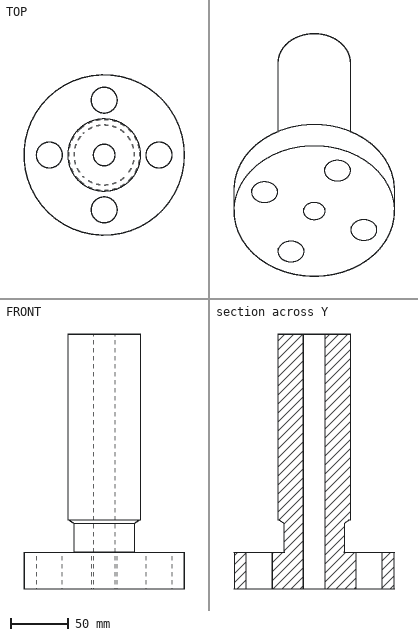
import cadquery as cq

total_height = 222.2

flange_diameter = 140.0
flange_thickness = 32.0

neck_diameter = 53.0
barrel_diameter = 63.3
barrel_start_z = 60.0
shoulder_height = 3.0
ledge_width = 1.0
relief_size = 0.5

bore_diameter = 18.7
bolt_hole_diameter = 22.5
bolt_circle_diameter = 95.5
bolt_hole_count = 4


def cylinder(diameter, bottom_z, top_z):
    """Upright cylinder on the Z axis between two heights."""
    return cq.Workplane("XY").workplane(offset=bottom_z).circle(diameter / 2).extrude(top_z - bottom_z)


def make_flange():
    """Round flange plate with a ring of bolt holes through it."""
    bolt_holes = (
        cq.Workplane("XY")
        .polarArray(bolt_circle_diameter / 2, 0, 360, bolt_hole_count)
        .circle(bolt_hole_diameter / 2)
        .extrude(flange_thickness)
    )
    return cylinder(flange_diameter, 0, flange_thickness).cut(bolt_holes)


def make_stem():
    """Neck, conical shoulder and barrel revolved as one profile, rooted in the flange."""
    neck_radius = neck_diameter / 2
    foot_radius = neck_radius - relief_size
    barrel_radius = barrel_diameter / 2
    return (
        cq.Workplane("XZ")
        .moveTo(0, 0)
        .lineTo(foot_radius, 0)
        .lineTo(foot_radius, flange_thickness)
        .lineTo(neck_radius, flange_thickness + relief_size)
        .lineTo(neck_radius, barrel_start_z - shoulder_height)
        .lineTo(barrel_radius - ledge_width, barrel_start_z)
        .lineTo(barrel_radius, barrel_start_z)
        .lineTo(barrel_radius, total_height)
        .lineTo(0, total_height)
        .close()
        .revolve(360, (0, 0, 0), (0, 1, 0))
    )


bore = cylinder(bore_diameter, 0, total_height)
result = make_flange().union(make_stem()).cut(bore)